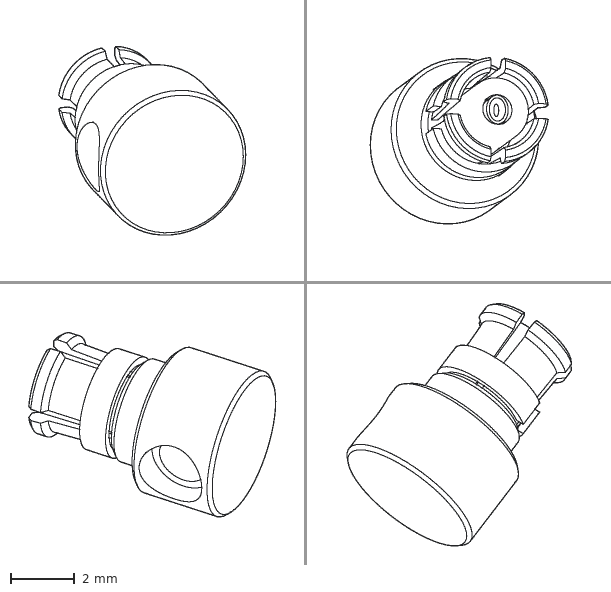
import cadquery as cq


length = 6.73
body_start = 3.94
body_radius = 2.39
front_chamfer = 0.135
rear_chamfer = 0.12

collar_start = 2.86
collar_radius = 1.695
collar_chamfer = 0.175
collar_fillet = 0.12

lip_face_radius = 1.56
lip_radius = 1.66
lip_flat_start = 0.12
lip_flat_end = 0.46
finger_start = 0.625
finger_radius = 1.455
neck_radius = 1.405
bore_radius = 1.21
bore_mouth_radius = 1.325
bore_mouth_depth = 0.17

slot_count = 4
slot_front_width = 0.47
slot_middle_width = 0.365
slot_rear_width = 0.255

side_hole_x = 5.34
side_hole_radius = 1.09
side_hole_floor = 1.46
inner_hole_radius = 0.835
inner_hole_floor = 0.0

ring_start = 1.825
ring_end = 2.725
ring_radius = 1.66
ring_gap = 0.715

insert_start = 0.12
insert_radius = 1.015
insert_fillet = 0.055
contact_bore_radius = 0.47
contact_gap_depth = 0.67
contact_half_width = 0.35
contact_half_height = 0.46
socket_half_width = 0.26
socket_half_height = 0.37
socket_floor_half_width = 0.08
socket_floor_half_height = 0.195
socket_depth = 0.135


def cylinder(start, end, radius):
    """Solid cylinder on the X axis."""
    return cq.Workplane("YZ", origin=(start, 0, 0)).circle(radius).extrude(end - start)


def make_housing_blank():
    """Turned housing with the bore between the fingers."""
    fillet_start = body_start - collar_fillet
    fillet_center_radius = collar_radius + collar_fillet
    fillet_mid = (
        fillet_start + collar_fillet * 0.5**0.5,
        fillet_center_radius - collar_fillet * 0.5**0.5,
    )
    profile = (
        cq.Workplane("XY")
        .moveTo(collar_start, 0)
        .lineTo(collar_start, bore_radius)
        .lineTo(bore_mouth_depth, bore_radius)
        .lineTo(0, bore_mouth_radius)
        .lineTo(0, lip_face_radius)
        .lineTo(lip_flat_start, lip_radius)
        .lineTo(lip_flat_end, lip_radius)
        .lineTo(finger_start, finger_radius)
        .lineTo(ring_start, neck_radius)
        .lineTo(collar_start, neck_radius)
        .lineTo(collar_start, collar_radius - collar_chamfer)
        .lineTo(collar_start + collar_chamfer, collar_radius)
        .lineTo(fillet_start, collar_radius)
        .threePointArc(fillet_mid, (body_start, fillet_center_radius))
        .lineTo(body_start, body_radius - front_chamfer)
        .lineTo(body_start + front_chamfer, body_radius)
        .lineTo(length - rear_chamfer, body_radius)
        .lineTo(length, body_radius - rear_chamfer)
        .lineTo(length, 0)
        .close()
    )
    return profile.revolve(360, (0, 0, 0), (1, 0, 0))


def make_finger_slot():
    """Cutter for the slot on the +Z side, narrowing toward the collar."""
    return (
        cq.Workplane("XY")
        .moveTo(0, -slot_front_width / 2)
        .lineTo(ring_start, -slot_middle_width / 2)
        .lineTo(collar_start, -slot_rear_width / 2)
        .lineTo(collar_start, slot_rear_width / 2)
        .lineTo(ring_start, slot_middle_width / 2)
        .lineTo(0, slot_front_width / 2)
        .close()
        .extrude(body_radius)
    )


def side_hole(radius, floor):
    """Cutter from the -Y side to a floor at the given distance from the main axis."""
    return (
        cq.Workplane("XZ", origin=(side_hole_x, -floor, 0))
        .circle(radius)
        .extrude(body_radius - floor)
    )


def make_housing():
    housing = make_housing_blank()
    for index in range(slot_count):
        angle = index * 360 / slot_count
        housing = housing.cut(make_finger_slot().rotate((0, 0, 0), (1, 0, 0), angle))
    housing = housing.cut(side_hole(side_hole_radius, side_hole_floor))
    return housing.cut(side_hole(inner_hole_radius, inner_hole_floor))


def make_ring():
    """Ring with its gap on the +Y side."""
    ring = cylinder(ring_start, ring_end, ring_radius).cut(cylinder(ring_start, ring_end, neck_radius))
    gap = cq.Workplane("XY").box(
        ring_end - ring_start, ring_radius, ring_gap, centered=(False, False, True)
    )
    return ring.cut(gap.translate((ring_start, 0, 0)))


def make_insert():
    """Insulator with an oval contact standing in its central bore."""
    insulator = cylinder(insert_start, collar_start, insert_radius).faces("<X").edges().fillet(insert_fillet)
    contact_bore = cylinder(insert_start, insert_start + contact_gap_depth, contact_bore_radius)
    face = cq.Workplane("YZ", origin=(insert_start, 0, 0))
    contact = face.ellipse(contact_half_width, contact_half_height).extrude(contact_gap_depth)
    socket = (
        face.ellipse(socket_half_width, socket_half_height)
        .workplane(offset=socket_depth)
        .ellipse(socket_floor_half_width, socket_floor_half_height)
        .loft(ruled=True)
    )
    return insulator.cut(contact_bore).union(contact).cut(socket)


housing = make_housing()
ring = make_ring()
insert = make_insert()

result = cq.Compound.makeCompound([housing.val(), ring.val(), insert.val()])